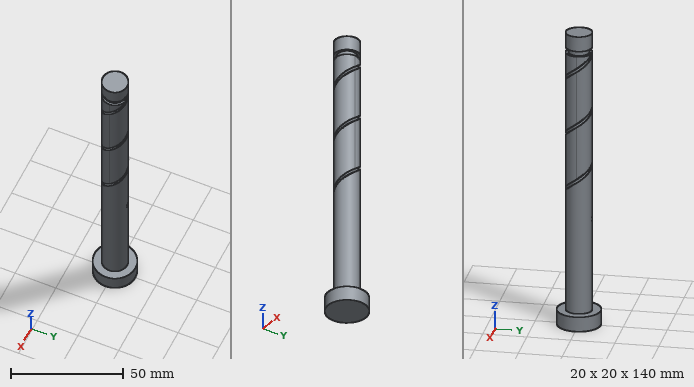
import cadquery as cq

total_length = 140.0
head_diameter = 20.0
head_height = 7.0
rod_diameter = 12.0

collar_height = 7.0
neck_diameter = 9.5
neck_height = 2.5

spiral_pitch = 26.6
spiral_turns = 3
spiral_top = 130.5
groove_radius = 0.8
groove_sink = 0.3
start_angle = 90

rod_radius = rod_diameter / 2
neck_bottom = total_length - collar_height - neck_height


def make_pin():
    head = cq.Workplane("XY").circle(head_diameter / 2).extrude(head_height)
    rod = cq.Workplane("XY").circle(rod_radius).extrude(total_length)
    return head.union(rod)


def make_neck_cutter():
    ring = cq.Workplane("XY").workplane(offset=neck_bottom)
    return ring.circle(head_diameter / 2).circle(neck_diameter / 2).extrude(neck_height)


def make_spiral_cutter():
    """Round bar centred just under the rod surface, swept along a right-hand helix."""
    spiral_height = spiral_pitch * spiral_turns
    centre_radius = rod_radius - groove_sink
    helix = cq.Wire.makeHelix(spiral_pitch, spiral_height, centre_radius)
    bar = cq.Workplane("XZ").center(centre_radius, 0).circle(groove_radius)
    cutter = bar.sweep(cq.Workplane(obj=helix), isFrenet=True)
    cutter = cutter.rotate((0, 0, 0), (0, 0, 1), start_angle)
    return cutter.translate((0, 0, spiral_top - spiral_height))


result = make_pin().cut(make_spiral_cutter()).cut(make_neck_cutter())